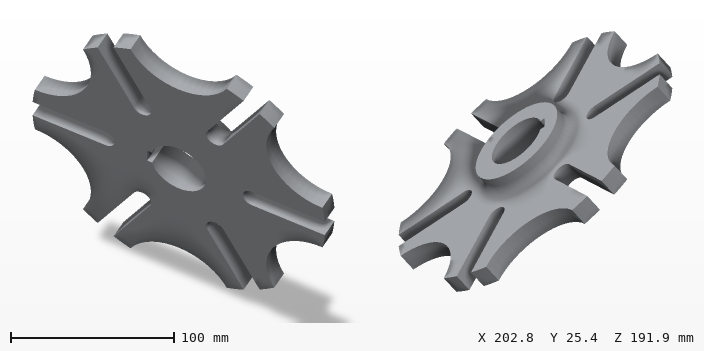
import cadquery as cq
import math

wheel_radius = 101.6
overall_depth = 25.4
plate_thickness = overall_depth / 2
station_count = 6

slot_width = 12.8
slot_end_center = 51.0
scallop_radius = 38.1
scallop_center = 114.4

hub_diameter = 63.5
hub_fillet = 6.3
bore_diameter = 38.1
keyway_width = 9.5
keyway_reach = 22.0

station_angle = 360 / station_count
hub_radius = hub_diameter / 2
fillet_top = plate_thickness + hub_fillet


def front_plane():
    """Sketch plane on the front face; extrusion runs toward +Y, local y is -Z."""
    return cq.Workplane(cq.Plane(origin=(0, 0, 0), xDir=(1, 0, 0), normal=(0, 1, 0)))


def make_blank():
    """Round plate with a filleted hub on its back, revolved about the Y axis."""
    arc_offset = hub_fillet * (1 - math.sqrt(0.5))
    return (
        cq.Workplane("XY")
        .lineTo(wheel_radius, 0)
        .lineTo(wheel_radius, plate_thickness)
        .lineTo(hub_radius + hub_fillet, plate_thickness)
        .threePointArc(
            (hub_radius + arc_offset, plate_thickness + arc_offset),
            (hub_radius, fillet_top),
        )
        .lineTo(hub_radius, overall_depth)
        .lineTo(0, overall_depth)
        .close()
        .revolve(360, (0, 0), (0, 1))
    )


def make_slot():
    """Radial slot along +X, open at the rim, with a round inner end."""
    length = wheel_radius - slot_end_center
    channel = (
        front_plane()
        .center(slot_end_center + length / 2, 0)
        .rect(length, slot_width)
        .extrude(plate_thickness)
    )
    round_end = front_plane().center(slot_end_center, 0).circle(slot_width / 2).extrude(plate_thickness)
    return channel.union(round_end)


def make_scallop():
    """Round bite out of the rim, midway between two slots."""
    scallop = front_plane().center(scallop_center, 0).circle(scallop_radius).extrude(plate_thickness)
    return scallop.rotate((0, 0, 0), (0, 1, 0), station_angle / 2)


def make_keyed_bore():
    """Through bore with a rectangular keyway on the -X side."""
    bore = front_plane().circle(bore_diameter / 2).extrude(overall_depth)
    keyway = (
        front_plane()
        .center(-keyway_reach / 2, 0)
        .rect(keyway_reach, keyway_width)
        .extrude(overall_depth)
    )
    return bore.union(keyway)


wheel = make_blank().cut(make_keyed_bore())
station_cutter = make_slot().union(make_scallop())
for station in range(station_count):
    wheel = wheel.cut(station_cutter.rotate((0, 0, 0), (0, 1, 0), station * station_angle))

result = wheel